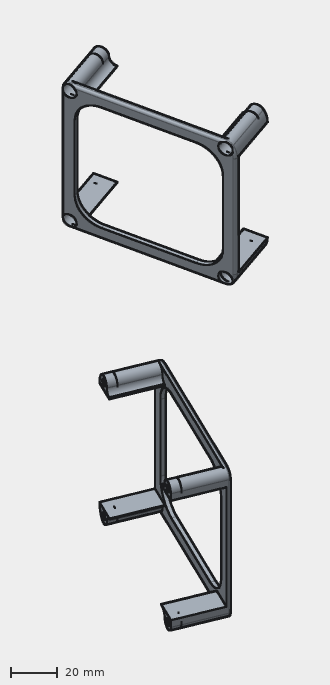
import cadquery as cq
import math

width = 85.1
height = 81.3
depth = 27.9
plate_thickness = 2.55
front_fillet = 1.4

window_width = 72.3
window_height = 68.4
window_radius = 13.0

boss_radius = 3.8
right_boss_inset = 5.1
screw_diameter = 3.4
counterbore_diameter = 7.0
screw_seat_thickness = 4.9

leg_height = 7.75
left_foot_width = 11.65
right_foot_width = 11.9
right_foot_lip = 0.7
foot_curve_radius = 3.7

left = -width / 2
right = width / 2
top = height / 2
left_boss_x = left + boss_radius
right_boss_x = right - right_boss_inset
boss_z = top - boss_radius
leg_bottom = top - leg_height
diagonal = math.sqrt(0.5)

boss_rise = boss_z - leg_bottom
side_arc_radius = (right_boss_inset**2 + boss_rise**2 - boss_radius**2) / (
    2 * (right_boss_inset - boss_radius)
)
side_arc_x = right - side_arc_radius
blend_angle = math.atan2(boss_rise, right_boss_x - side_arc_x)


def on_circle(center_x, center_z, radius, angle):
    """Point on a circle in the XZ plane."""
    return center_x + radius * math.cos(angle), center_z + radius * math.sin(angle)


blend_point = on_circle(right_boss_x, boss_z, boss_radius, blend_angle)
side_arc_middle = on_circle(side_arc_x, leg_bottom, side_arc_radius, blend_angle / 2)
right_cap_middle = on_circle(right_boss_x, boss_z, boss_radius, (blend_angle + math.pi / 2) / 2)
left_cap_middle = (left_boss_x - boss_radius * diagonal, boss_z + boss_radius * diagonal)


def extrude_back(profile, length):
    """Extrude a profile on the XZ plane from Y = 0 toward +Y."""
    return profile.extrude(-length)


def mirror_point(point):
    """Reflect a profile point to the lower half."""
    return point[0], -point[1]


def make_plate():
    profile = (
        cq.Workplane("XZ")
        .moveTo(left, -boss_z)
        .lineTo(left, boss_z)
        .threePointArc(left_cap_middle, (left_boss_x, top))
        .lineTo(right_boss_x, top)
        .threePointArc(right_cap_middle, blend_point)
        .threePointArc(side_arc_middle, (right, leg_bottom))
        .lineTo(right, -leg_bottom)
        .threePointArc(mirror_point(side_arc_middle), mirror_point(blend_point))
        .threePointArc(mirror_point(right_cap_middle), (right_boss_x, -top))
        .lineTo(left_boss_x, -top)
        .threePointArc(mirror_point(left_cap_middle), (left, -boss_z))
        .close()
    )
    plate = extrude_back(profile, plate_thickness)
    return plate.faces("<Y").edges().fillet(front_fillet)


def make_window():
    window = extrude_back(cq.Workplane("XZ").rect(window_width, window_height), plate_thickness)
    return window.edges("|Y").fillet(window_radius)


def make_leg(profile, boss_x, inward, foot_width, lip=0):
    """Complete a leg from its top point, around the inner side, to its start.

    inward is +1 when the foot points toward +X and -1 toward -X;
    lip is the width of the flat strip between the curve and the foot tip.
    """
    boss_inner_x = boss_x + inward * boss_radius
    curve_center_x = boss_inner_x + inward * foot_curve_radius
    foot_tip_x = inward * (foot_width - width / 2)
    curve_end_x = foot_tip_x - inward * lip
    tip_run = abs(curve_center_x - curve_end_x)
    tip_z = boss_z - math.sqrt(foot_curve_radius**2 - tip_run**2)
    middle_angle = (math.pi / 2 + math.asin(tip_run / foot_curve_radius)) / 2
    curve_middle = (
        curve_center_x - inward * foot_curve_radius * math.sin(middle_angle),
        boss_z - foot_curve_radius * math.cos(middle_angle),
    )
    boss_middle = (boss_x + inward * boss_radius * diagonal, boss_z + boss_radius * diagonal)
    profile = (
        profile.threePointArc(boss_middle, (boss_inner_x, boss_z))
        .threePointArc(curve_middle, (curve_end_x, tip_z))
    )
    if lip:
        profile = profile.lineTo(foot_tip_x, tip_z)
    profile = profile.lineTo(foot_tip_x, leg_bottom).close()
    leg = extrude_back(profile, depth - front_fillet)
    return leg.translate((0, front_fillet, 0))


def make_upper_legs():
    left_start = (
        cq.Workplane("XZ")
        .moveTo(left, leg_bottom)
        .lineTo(left, boss_z)
        .threePointArc(left_cap_middle, (left_boss_x, top))
    )
    right_start = (
        cq.Workplane("XZ")
        .moveTo(right, leg_bottom)
        .threePointArc(side_arc_middle, blend_point)
        .threePointArc(right_cap_middle, (right_boss_x, top))
    )
    left_leg = make_leg(left_start, left_boss_x, 1, left_foot_width)
    right_leg = make_leg(right_start, right_boss_x, -1, right_foot_width, right_foot_lip)
    return left_leg.union(right_leg)


def make_screw_holes():
    centers = [(x, z) for x in (left_boss_x, right_boss_x) for z in (-boss_z, boss_z)]
    sketch = cq.Workplane("XZ").pushPoints(centers)
    holes = extrude_back(sketch.circle(screw_diameter / 2), depth)
    counterbores = extrude_back(sketch.circle(counterbore_diameter / 2), depth - screw_seat_thickness)
    return holes.union(counterbores)


upper_legs = make_upper_legs()
lower_legs = upper_legs.mirror("XY")
frame = make_plate().union(upper_legs).union(lower_legs)
result = frame.cut(make_window()).cut(make_screw_holes())